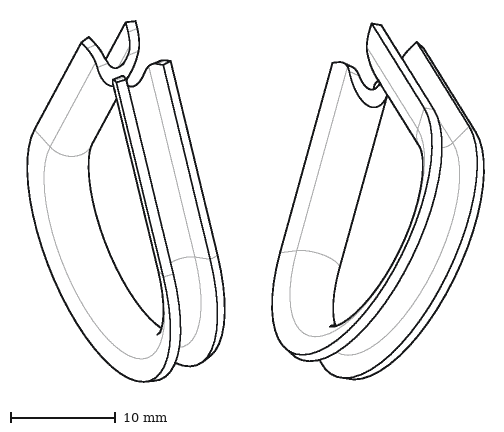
import cadquery as cq
import math

width = 6.0
overall_height = 37.85
rim_radius = 13.75
eye_radius = 9.45
groove_diameter = 3.03
shell_diameter = 5.05
flare = math.radians(15)
lean = math.radians(26)
half_gap = 1.5
end_rounding = 2.0

groove_radius = groove_diameter / 2
outer_shell_radius = shell_diameter / 2
wall = outer_shell_radius - groove_radius
groove_center = eye_radius + outer_shell_radius
sin_flare, cos_flare = math.sin(flare), math.cos(flare)
sin_lean, cos_lean = math.sin(lean), math.cos(lean)
tip_height = overall_height - rim_radius
leg_length = (tip_height - rim_radius * sin_lean) / cos_lean


def wall_start(radius):
    """End of a groove arc, where the straight flared wall begins."""
    return groove_center - radius * sin_flare, radius * cos_flare


def mirrored(point):
    return point[0], -point[1]


def channel_profile():
    """Cross-section with X radial and Y across the width."""
    inner_start = wall_start(groove_radius)
    outer_start = wall_start(outer_shell_radius)
    inner_tip = (rim_radius, width / 2 - wall * cos_flare)
    outer_tip = (rim_radius - wall * sin_flare, width / 2)
    return (
        cq.Workplane("XY")
        .moveTo(*mirrored(inner_tip))
        .lineTo(*mirrored(inner_start))
        .threePointArc((groove_center - groove_radius, 0), inner_start)
        .lineTo(*inner_tip)
        .lineTo(*outer_tip)
        .lineTo(*outer_start)
        .threePointArc((eye_radius, 0), mirrored(outer_start))
        .lineTo(*mirrored(outer_tip))
        .close()
    )


def end_envelope():
    """Prism whose rounded corner trims the upper end of the right leg."""
    tip_x = rim_radius * cos_lean - leg_length * sin_lean
    end_slope = math.tan(lean)
    far_x = 2 * rim_radius
    corner = (half_gap, tip_height + (half_gap - tip_x) * end_slope)
    far_top = (far_x, tip_height + (far_x - tip_x) * end_slope)
    return (
        cq.Workplane("XZ")
        .polyline([corner, (half_gap, 0), (far_x, 0), far_top])
        .close()
        .extrude(width, both=True)
        .edges(cq.selectors.NearestToPointSelector((corner[0], 0, corner[1])))
        .fillet(end_rounding)
    )


def bow():
    """Round part, running from the left leg down and around to the right leg."""
    lean_degrees = math.degrees(lean)
    sweep = 180 + 2 * lean_degrees
    revolved = channel_profile().revolve(sweep, (0, 0), (0, 1))
    return revolved.rotate((0, 0, 0), (0, 1, 0), -lean_degrees)


def right_leg():
    straight = channel_profile().extrude(leg_length)
    leaning = straight.rotate((0, 0, 0), (0, 1, 0), -math.degrees(lean))
    return leaning.intersect(end_envelope())


leg = right_leg()
result = bow().union(leg).union(leg.mirror("YZ"))